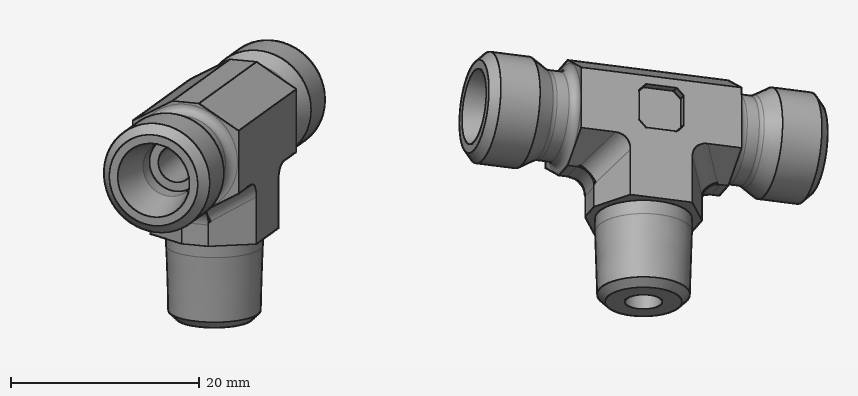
import cadquery as cq
import math

HEX_FLATS = 12.0
HALF_FLATS = HEX_FLATS / 2
CORNER_CUT = 6.06
SLOPE = math.tan(math.radians(30))
EDGE_HEIGHT = HALF_FLATS * SLOPE
SHARP_CORNER = HALF_FLATS / math.cos(math.radians(30))
CUT_HALF_WIDTH = (SHARP_CORNER - CORNER_CUT) / SLOPE

RUN_HALF_LENGTH = 9.0
BRANCH_END = 10.44
CROTCH_FILLET = 2.0

PORT_END = 19.0
PORT_RADIUS = 6.0
PORT_CHAMFER = 1.0
THREAD_START = 13.6
NECK_RADIUS = 4.85
NECK_CONE_ANGLE = math.radians(30)
NECK_FILLET = 1.0

BORE_RADIUS = 2.0
TUBE_RADIUS = 3.0
TUBE_DEPTH = 7.0
SEAT_MOUTH_RADIUS = 4.05
SEAT_ANGLE = math.radians(12)

STUD_END = 20.0
STUD_RADIUS = 5.17
STUD_COLLAR = 1.5
STUD_TAPER = 1 / 32
STUD_CHAMFER = 0.85

RECESS_SIZE = 5.0
RECESS_CORNER = 0.8
RECESS_DEPTH = 1.0


def hex_outline(plane):
    """Hexagon with side flats across X and cut corners along the other axis of the plane."""
    return plane.polyline([
        (HALF_FLATS, EDGE_HEIGHT),
        (CUT_HALF_WIDTH, CORNER_CUT),
        (-CUT_HALF_WIDTH, CORNER_CUT),
        (-HALF_FLATS, EDGE_HEIGHT),
        (-HALF_FLATS, -EDGE_HEIGHT),
        (-CUT_HALF_WIDTH, -CORNER_CUT),
        (CUT_HALF_WIDTH, -CORNER_CUT),
        (HALF_FLATS, -EDGE_HEIGHT),
    ]).close()


def make_body():
    """Hexagonal run and branch with filleted crotches."""
    run = hex_outline(cq.Workplane("XZ")).extrude(RUN_HALF_LENGTH, both=True)
    branch = hex_outline(cq.Workplane("XY")).extrude(-BRANCH_END)
    body = run.union(branch)
    margin = 0.1
    for side in (1, -1):
        crotch = cq.selectors.BoxSelector(
            (-HALF_FLATS, side * EDGE_HEIGHT, -EDGE_HEIGHT - margin),
            (HALF_FLATS, side * (CORNER_CUT + margin), -CORNER_CUT - margin),
        )
        body = body.edges(crotch).fillet(CROTCH_FILLET)
    return body


def revolve_about_y(outline):
    return outline.close().revolve(360, (0, 0, 0), (0, 1, 0))


def make_port():
    """Port on the +Y end: flared root, neck, cone and chamfered thread cylinder."""
    cone_start = THREAD_START - (PORT_RADIUS - NECK_RADIUS) / math.tan(NECK_CONE_ANGLE)
    tangent = NECK_FILLET * math.tan(NECK_CONE_ANGLE / 2)
    fillet_start = cone_start - tangent
    fillet_mid = NECK_CONE_ANGLE / 2
    root_mid = NECK_FILLET * (1 - math.sin(math.radians(45)))
    outline = (
        cq.Workplane("XY")
        .moveTo(0, 0)
        .lineTo(NECK_RADIUS + NECK_FILLET, 0)
        .lineTo(NECK_RADIUS + NECK_FILLET, RUN_HALF_LENGTH)
        .threePointArc(
            (NECK_RADIUS + root_mid, RUN_HALF_LENGTH + root_mid),
            (NECK_RADIUS, RUN_HALF_LENGTH + NECK_FILLET),
        )
        .lineTo(NECK_RADIUS, fillet_start)
        .threePointArc(
            (
                NECK_RADIUS + NECK_FILLET * (1 - math.cos(fillet_mid)),
                fillet_start + NECK_FILLET * math.sin(fillet_mid),
            ),
            (
                NECK_RADIUS + NECK_FILLET * (1 - math.cos(NECK_CONE_ANGLE)),
                fillet_start + NECK_FILLET * math.sin(NECK_CONE_ANGLE),
            ),
        )
        .lineTo(PORT_RADIUS, THREAD_START)
        .lineTo(PORT_RADIUS, PORT_END - PORT_CHAMFER)
        .lineTo(PORT_RADIUS - PORT_CHAMFER, PORT_END)
        .lineTo(0, PORT_END)
    )
    return revolve_about_y(outline)


def make_port_bore():
    """Bore of the +Y half of the run: passage, tube socket and cone seat."""
    seat_depth = (SEAT_MOUTH_RADIUS - TUBE_RADIUS) / math.tan(SEAT_ANGLE)
    outline = cq.Workplane("XY").polyline([
        (0, 0),
        (BORE_RADIUS, 0),
        (BORE_RADIUS, PORT_END - TUBE_DEPTH),
        (TUBE_RADIUS, PORT_END - TUBE_DEPTH),
        (TUBE_RADIUS, PORT_END - seat_depth),
        (SEAT_MOUTH_RADIUS, PORT_END),
        (0, PORT_END),
    ])
    return revolve_about_y(outline)


def make_stud():
    """Stud along -Z: short collar, tapered thread and chamfered end."""
    taper_start = BRANCH_END + STUD_COLLAR
    chamfer_start = STUD_END - STUD_CHAMFER
    tip_radius = STUD_RADIUS - STUD_TAPER * (chamfer_start - taper_start)
    outline = cq.Workplane("XZ").polyline([
        (0, -BRANCH_END),
        (STUD_RADIUS, -BRANCH_END),
        (STUD_RADIUS, -taper_start),
        (tip_radius, -chamfer_start),
        (tip_radius - STUD_CHAMFER, -STUD_END),
        (0, -STUD_END),
    ])
    return outline.close().revolve(360, (0, 0, 0), (0, 1, 0))


def make_branch_bore():
    """Passage from the run axis out through the stud."""
    return cq.Workplane("XY").circle(BORE_RADIUS).extrude(-STUD_END)


def make_recess():
    """Square recess with cut corners, centred on the run axis in the -X flat."""
    return (
        cq.Workplane("YZ", origin=(-HALF_FLATS, 0, 0))
        .rect(RECESS_SIZE, RECESS_SIZE)
        .extrude(RECESS_DEPTH)
        .edges("|X")
        .chamfer(RECESS_CORNER)
    )


def both_ends(shape):
    return shape.union(shape.mirror("XZ"))


result = (
    make_body()
    .union(both_ends(make_port()))
    .union(make_stud())
    .cut(both_ends(make_port_bore()))
    .cut(make_branch_bore())
    .cut(make_recess())
)